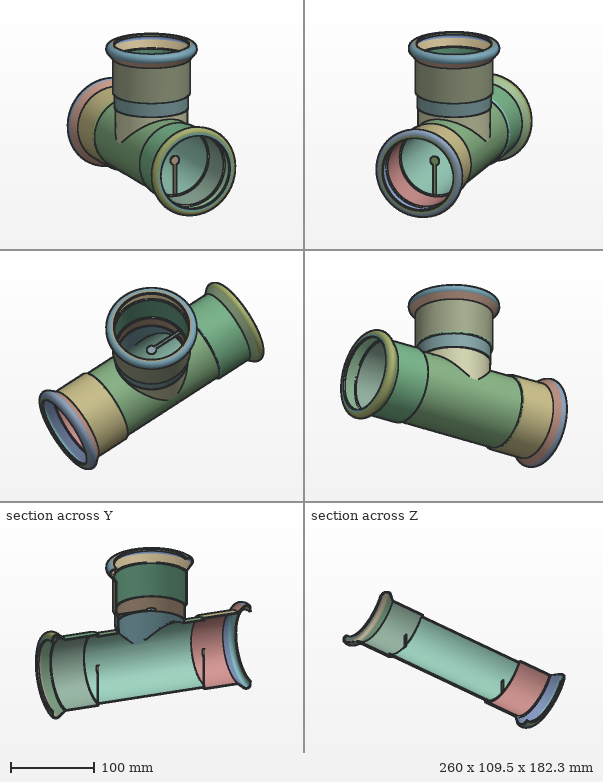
import cadquery as cq
import math

run_half_length = 130.0
overall_height = 182.3
bead_diameter = 109.5
branch_top = overall_height - bead_diameter / 2

run_outer = 89.0
run_bore = 85.0
neck_outer = 87.0
neck_bore = 84.0
neck_top = 48.4

socket_outer = 93.5
socket_bore = 89.5
socket_wall = (socket_outer - socket_bore) / 2
socket_depth = 60.3
shoulder_start = 59.5
shoulder_radius = (socket_outer - run_outer) / 2
mouth_diameter = 91.0
bead_radius = 6.0
flare_depth = 17.5
throat_diameter = 91.0
throat_start = 17.0
throat_end = 18.2

marker_diameter = 11.5
stem_width = 4.0
marker_thickness = 1.3

bead_center_radius = bead_diameter / 2 - bead_radius


def flare_tangent_angle(arc_radius, end_radius, end_depth):
    """Angle, from the radial direction toward depth, where the flare leaves the bead arc."""
    axial = end_depth - bead_radius
    radial = end_radius - bead_center_radius
    return math.atan2(axial, radial) - math.acos(arc_radius / math.hypot(axial, radial))


def bead_point(arc_radius, angle):
    """Radius and depth of a point on a bead arc."""
    return (
        bead_center_radius + arc_radius * math.cos(angle),
        bead_radius + arc_radius * math.sin(angle),
    )


def revolve_at_port(profile):
    """Revolve a (radius, depth) profile about the port axis; depth runs along +Z."""
    return profile.close().revolve(360, (0, 0, 0), (0, 1, 0))


def bead_profile(arc_radius, end_radius, end_depth):
    """Open profile from the port axis, round the bead and down the flare."""
    angle = flare_tangent_angle(arc_radius, end_radius, end_depth)
    middle_angle = (angle - math.pi / 2) / 2
    face_depth = bead_radius - arc_radius
    return (
        cq.Workplane("XZ")
        .moveTo(0, face_depth)
        .lineTo(bead_center_radius, face_depth)
        .threePointArc(bead_point(arc_radius, middle_angle), bead_point(arc_radius, angle))
        .lineTo(end_radius, end_depth)
    )


def socket_envelope(pipe_length):
    """Solid outside shape of a socket and the pipe behind it."""
    shoulder_middle = (
        run_outer / 2 + shoulder_radius * math.sqrt(0.5),
        shoulder_start + shoulder_radius * math.sqrt(0.5),
    )
    profile = (
        bead_profile(bead_radius, socket_outer / 2, flare_depth)
        .lineTo(socket_outer / 2, shoulder_start)
        .threePointArc(shoulder_middle, (run_outer / 2, shoulder_start + shoulder_radius))
        .lineTo(run_outer / 2, pipe_length)
        .lineTo(0, pipe_length)
    )
    return revolve_at_port(profile)


def socket_cavity(pipe_length):
    """Tapered mouth, bead groove, throat taper, socket bore and pipe bore."""
    profile = (
        bead_profile(bead_radius - socket_wall, throat_diameter / 2, throat_start)
        .lineTo(socket_bore / 2, throat_end)
        .lineTo(socket_bore / 2, socket_depth)
        .lineTo(run_bore / 2, socket_depth)
        .lineTo(run_bore / 2, pipe_length)
        .lineTo(0, pipe_length)
    )
    mouth = (
        cq.Workplane("XY")
        .circle(mouth_diameter / 2)
        .workplane(offset=socket_wall)
        .circle(socket_bore / 2)
        .loft(ruled=True)
    )
    return revolve_at_port(profile).union(mouth)


def make_marker():
    """Disc and stem just behind the socket floor, with the stem toward +X."""
    disc = cq.Workplane("XY").circle(marker_diameter / 2).extrude(marker_thickness)
    stem = (
        cq.Workplane("XY")
        .center(run_bore / 4, 0)
        .rect(run_bore / 2, stem_width)
        .extrude(marker_thickness)
    )
    bore = cq.Workplane("XY").circle(run_bore / 2).extrude(marker_thickness)
    return disc.union(stem).intersect(bore).translate((0, 0, socket_depth))


def at_left(body):
    """Turn a port built along +Z so that its mouth faces -X and its +X side faces -Z."""
    return body.rotate((0, 0, 0), (0, 1, 0), 90).translate((-run_half_length, 0, 0))


def at_right(body):
    """Mirror image of the left port, with its mouth facing +X."""
    return at_left(body).mirror("YZ")


def at_top(body):
    """Turn a port built along +Z so that its mouth faces +Z."""
    return body.mirror("XY").translate((0, 0, branch_top))


branch_length = branch_top - neck_top
neck = cq.Workplane("XY").circle(neck_outer / 2).extrude(neck_top)
neck_hole = cq.Workplane("XY").circle(neck_bore / 2).extrude(neck_top)

tee = (
    at_left(socket_envelope(run_half_length))
    .union(at_right(socket_envelope(run_half_length)))
    .union(neck)
    .union(at_top(socket_envelope(branch_length)))
    .cut(at_left(socket_cavity(run_half_length)))
    .cut(at_right(socket_cavity(run_half_length)))
    .cut(neck_hole)
    .cut(at_top(socket_cavity(branch_length)))
)

markers = [place(make_marker()) for place in (at_left, at_right, at_top)]

result = cq.Compound.makeCompound([tee.val(), *[marker.val() for marker in markers]])